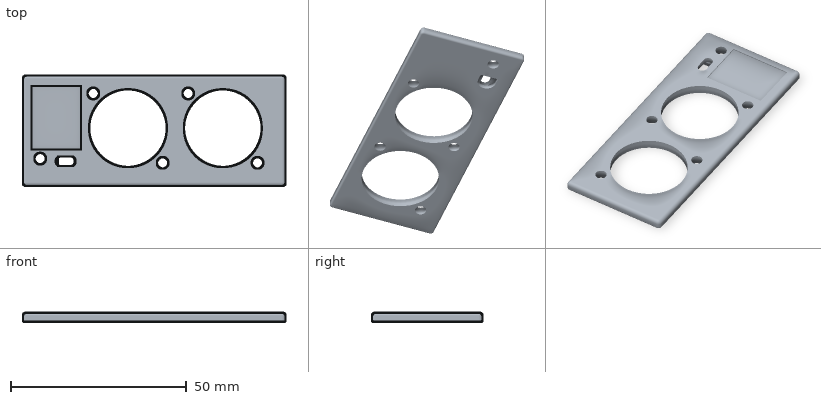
import cadquery as cq

LENGTH = 74.8
WIDTH = 31.5
THICKNESS = 2.7
EDGE_RADIUS = 1.0
LOWER_EDGE_RADIUS = 0.5

CONNECTOR_COUNT = 2
CONNECTOR_DIAMETER = 22.1
CONNECTOR_SPACING = 27.0
FIRST_CONNECTOR_X = -7.5
CONNECTOR_Y = 0.75
SCREW_OFFSET = 9.9
SMALL_HOLE_DIAMETER = 3.2

INDICATOR_X = -32.5
INDICATOR_Y = -7.9

RECESS_LENGTH = 14.0
RECESS_WIDTH = 18.0
RECESS_DEPTH = 0.2
RECESS_X = -27.9
RECESS_Y = 3.75

SLOT_LENGTH = 5.7
SLOT_WIDTH = 2.7
SLOT_X = -25.2
SLOT_Y = -8.7
SLOT_UPPER_DEPTH = 1.5
SLOT_LEFT_LEDGE = 0.7
SLOT_RIGHT_LEDGE = 0.3
SLOT_LOWER_WIDTH = 5.2


def rounded_plate():
    """Plate with rounded corners and top edge, and a smaller rounding along the underside."""
    return (
        cq.Workplane("XY")
        .rect(LENGTH, WIDTH)
        .extrude(THICKNESS)
        .edges("|Z or >Z")
        .fillet(EDGE_RADIUS)
        .edges("<Z")
        .fillet(LOWER_EDGE_RADIUS)
    )


def round_holes(centers, diameter):
    return cq.Workplane("XY").pushPoints(centers).circle(diameter / 2).extrude(THICKNESS)


def connector_cut():
    """Large openings and their diagonal screw holes."""
    openings = []
    screws = []
    for index in range(CONNECTOR_COUNT):
        x = FIRST_CONNECTOR_X + index * CONNECTOR_SPACING
        openings.append((x, CONNECTOR_Y))
        screws.append((x - SCREW_OFFSET, CONNECTOR_Y + SCREW_OFFSET))
        screws.append((x + SCREW_OFFSET, CONNECTOR_Y - SCREW_OFFSET))
    return round_holes(openings, CONNECTOR_DIAMETER).union(round_holes(screws, SMALL_HOLE_DIAMETER))


def recess_cut():
    return (
        cq.Workplane("XY")
        .workplane(offset=THICKNESS - RECESS_DEPTH)
        .center(RECESS_X, RECESS_Y)
        .rect(RECESS_LENGTH, RECESS_WIDTH)
        .extrude(RECESS_DEPTH)
    )


def slot_cut():
    """Round-ended slot opening into a wider, shorter D-shaped pocket in the underside."""
    upper = (
        cq.Workplane("XY")
        .workplane(offset=THICKNESS - SLOT_UPPER_DEPTH)
        .center(SLOT_X, SLOT_Y)
        .slot2D(SLOT_LENGTH, SLOT_WIDTH)
        .extrude(SLOT_UPPER_DEPTH)
    )
    half_width = SLOT_LOWER_WIDTH / 2
    left = SLOT_X - SLOT_LENGTH / 2 + SLOT_LEFT_LEDGE
    right = SLOT_X + SLOT_LENGTH / 2 - SLOT_RIGHT_LEDGE
    arc_start = right - half_width
    lower = (
        cq.Workplane("XY")
        .moveTo(left, SLOT_Y - half_width)
        .lineTo(arc_start, SLOT_Y - half_width)
        .threePointArc((right, SLOT_Y), (arc_start, SLOT_Y + half_width))
        .lineTo(left, SLOT_Y + half_width)
        .close()
        .extrude(THICKNESS - SLOT_UPPER_DEPTH)
    )
    return upper.union(lower)


result = (
    rounded_plate()
    .cut(connector_cut())
    .cut(round_holes([(INDICATOR_X, INDICATOR_Y)], SMALL_HOLE_DIAMETER))
    .cut(recess_cut())
    .cut(slot_cut())
)